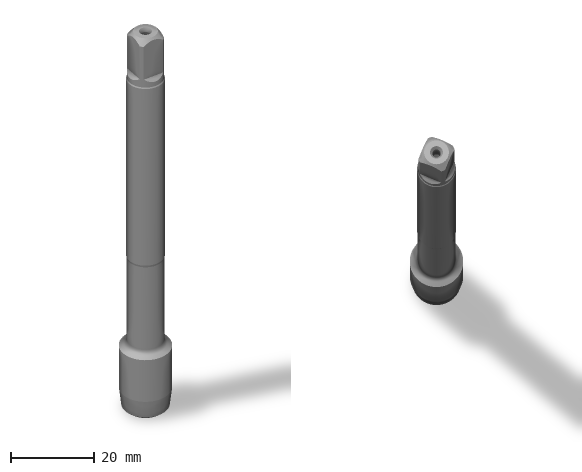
import cadquery as cq
import math

total_length = 110.0

head_diameter = 12.84
head_length = 18.0
lead_length = 5.8
lead_end_diameter = 11.7
tip_chamfer_diameter = 9.8
tip_chamfer_height = 0.85

neck_diameter = 9.02
flare_angle = math.radians(30.0)
flare_fillet_radius = 1.2

shank_diameter = 9.32
shank_bottom = 44.5
shank_top = 96.3
shank_taper_length = 0.6
shank_top_taper_length = 0.3

drive_diameter = 8.95
drive_width = 6.98
drive_length = 11.11
drive_chamfer = 1.5

center_hole_diameter = 2.0
center_hole_depth = 5.0
countersink_diameter = 3.1
countersink_angle = math.radians(60.0)
drill_point_angle = math.radians(118.0)


def revolve_about_axis(profile):
    """Turn a closed XZ half profile into a solid of revolution about Z."""
    return profile.close().revolve(360, (0, 0, 0), (0, 1, 0))


def make_cutting_head():
    """Cylindrical head with a tapered lead and a chamfered tip."""
    radius = head_diameter / 2
    profile = (
        cq.Workplane("XZ")
        .lineTo(tip_chamfer_diameter / 2, 0)
        .lineTo(lead_end_diameter / 2, tip_chamfer_height)
        .lineTo(radius, lead_length)
        .lineTo(radius, head_length)
        .lineTo(0, head_length)
    )
    return revolve_about_axis(profile)


def make_turned_shank():
    """Flared neck, shank and drive end as one turned shape."""
    head_radius = head_diameter / 2
    neck_radius = neck_diameter / 2
    shank_radius = shank_diameter / 2
    drive_radius = drive_diameter / 2

    turn = math.pi / 2 - flare_angle
    fillet_start_radius = neck_radius + flare_fillet_radius * (1 - math.cos(turn))
    fillet_start = head_length + (head_radius - fillet_start_radius) * math.tan(flare_angle)
    fillet_end = fillet_start + flare_fillet_radius * math.sin(turn)
    fillet_middle_radius = neck_radius + flare_fillet_radius * (1 - math.cos(turn / 2))
    fillet_middle = fillet_end - flare_fillet_radius * math.sin(turn / 2)

    profile = (
        cq.Workplane("XZ")
        .moveTo(0, head_length)
        .lineTo(head_radius, head_length)
        .lineTo(fillet_start_radius, fillet_start)
        .threePointArc((fillet_middle_radius, fillet_middle), (neck_radius, fillet_end))
        .lineTo(neck_radius, shank_bottom - shank_taper_length)
        .lineTo(shank_radius, shank_bottom)
        .lineTo(shank_radius, shank_top)
        .lineTo(drive_radius, shank_top + shank_top_taper_length)
        .lineTo(drive_radius, total_length - drive_chamfer)
        .lineTo(drive_radius - drive_chamfer, total_length)
        .lineTo(0, total_length)
    )
    return revolve_about_axis(profile)


def make_flat_cutter():
    """Block that cuts one drive flat and ends in a 45 degree run-out."""
    flat = drive_width / 2
    flat_bottom = total_length - drive_length
    reach = drive_diameter
    profile = (
        cq.Workplane("XZ")
        .moveTo(flat, total_length)
        .lineTo(flat, flat_bottom)
        .lineTo(reach, flat_bottom - (reach - flat))
        .lineTo(reach, total_length)
        .close()
    )
    return profile.extrude(drive_diameter / 2, both=True)


def make_center_hole():
    """Countersunk center hole with a conical drill point."""
    hole_radius = center_hole_diameter / 2
    countersink_radius = countersink_diameter / 2
    countersink_depth = (countersink_radius - hole_radius) / math.tan(countersink_angle / 2)
    hole_bottom = total_length - center_hole_depth
    profile = (
        cq.Workplane("XZ")
        .moveTo(0, total_length)
        .lineTo(countersink_radius, total_length)
        .lineTo(hole_radius, total_length - countersink_depth)
        .lineTo(hole_radius, hole_bottom)
        .lineTo(0, hole_bottom - hole_radius / math.tan(drill_point_angle / 2))
    )
    return revolve_about_axis(profile)


def make_shank():
    """Turned shank with its square drive and center hole."""
    shank = make_turned_shank()
    flat_cutter = make_flat_cutter()
    for angle in (0, 90, 180, 270):
        shank = shank.cut(flat_cutter.rotate((0, 0, 0), (0, 0, 1), angle))
    return shank.cut(make_center_hole())


cutting_head = make_cutting_head()
shank = make_shank()

result = cq.Compound.makeCompound([cutting_head.val(), shank.val()])